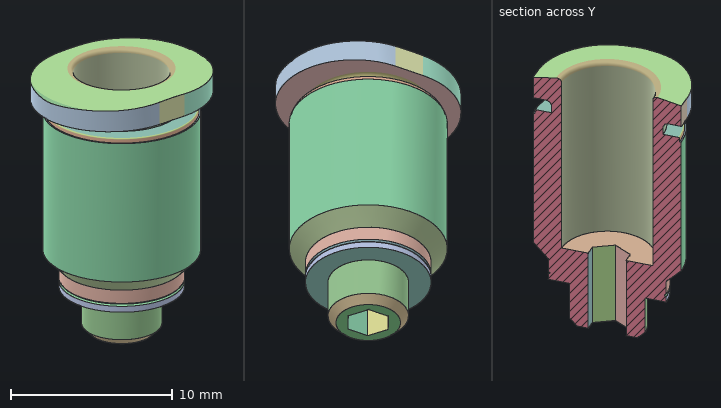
import cadquery as cq
import math

TOTAL_HEIGHT = 17.8
SPIGOT_TOP = 3.0
GROOVE_CENTRE = 3.5
SHOULDER_TOP = 4.5
BODY_BOTTOM = 5.5
BODY_TOP = 14.9
RING_TOP = 15.2
FLANGE_BOTTOM = 16.0

SPIGOT_DIAMETER = 5.0
SHOULDER_DIAMETER = 7.8
BODY_DIAMETER = 9.8
RING_DIAMETER = 9.6
NECK_DIAMETER = 7.4

FLANGE_LENGTH = 11.8
FLANGE_WIDTH = BODY_DIAMETER
FLANGE_TOP_ANGLE = 10.0
FLANGE_EDGE_FILLET = 0.2
RIM_CLEARANCE = 0.002

SPIGOT_CHAMFER = 0.5
GROOVE_DEPTH = 0.1
RING_FILLET = 0.07
NECK_FILLET = 0.35

BORE_DIAMETER = 6.0
BORE_FLOOR = BODY_BOTTOM
BORE_LIP_RADIUS = 0.3
HEX_ACROSS_FLATS = 2.5


def arc_point(centre_x, centre_z, radius, angle_from_vertical):
    """Point on a circle in the turning profile, at an angle measured from +Z toward +X."""
    return (
        centre_x + radius * math.sin(angle_from_vertical),
        centre_z + radius * math.cos(angle_from_vertical),
    )


def make_body():
    """Turned body: spigot, grooved shoulder, cone, barrel, ring and neck, as one revolved profile."""
    spigot = SPIGOT_DIAMETER / 2
    shoulder = SHOULDER_DIAMETER / 2
    barrel = BODY_DIAMETER / 2
    ring = RING_DIAMETER / 2
    neck = NECK_DIAMETER / 2
    profile = (
        cq.Workplane("XZ")
        .lineTo(spigot - SPIGOT_CHAMFER, 0)
        .lineTo(spigot, SPIGOT_CHAMFER)
        .lineTo(spigot, SPIGOT_TOP)
        .lineTo(shoulder, SPIGOT_TOP)
        .lineTo(shoulder, GROOVE_CENTRE - GROOVE_DEPTH)
        .lineTo(shoulder - GROOVE_DEPTH, GROOVE_CENTRE)
        .lineTo(shoulder, GROOVE_CENTRE + GROOVE_DEPTH)
        .lineTo(shoulder, SHOULDER_TOP)
        .lineTo(barrel, BODY_BOTTOM)
        .lineTo(barrel, BODY_TOP)
        .lineTo(ring, BODY_TOP)
        .lineTo(ring, RING_TOP - RING_FILLET)
        .threePointArc(
            arc_point(ring - RING_FILLET, RING_TOP - RING_FILLET, RING_FILLET, math.pi / 4),
            (ring - RING_FILLET, RING_TOP),
        )
        .lineTo(neck, RING_TOP)
        .lineTo(neck, FLANGE_BOTTOM - NECK_FILLET)
        .threePointArc(
            arc_point(neck + NECK_FILLET, FLANGE_BOTTOM - NECK_FILLET, NECK_FILLET, -math.pi / 4),
            (neck + NECK_FILLET, FLANGE_BOTTOM),
        )
        .lineTo(0, FLANGE_BOTTOM)
        .close()
    )
    return profile.revolve(360, (0, 0, 0), (0, 1, 0))


def make_flange():
    """Turned ring with a rounded bore lip, conical top and rounded rim, trimmed to an oval outline."""
    rim = FLANGE_LENGTH / 2 + RIM_CLEARANCE
    slope = math.radians(FLANGE_TOP_ANGLE)

    bore = BORE_DIAMETER / 2
    lip_x = bore + BORE_LIP_RADIUS
    lip_z = TOTAL_HEIGHT - BORE_LIP_RADIUS
    cone_top = lip_z + BORE_LIP_RADIUS / math.cos(slope) + lip_x * math.tan(slope)

    fillet_x = rim - FLANGE_EDGE_FILLET
    slope_z = cone_top - fillet_x * math.tan(slope)
    fillet_z = slope_z - FLANGE_EDGE_FILLET / math.cos(slope)

    ring = (
        cq.Workplane("XZ")
        .moveTo(bore, FLANGE_BOTTOM)
        .lineTo(rim, FLANGE_BOTTOM)
        .lineTo(rim, fillet_z)
        .threePointArc(
            arc_point(fillet_x, fillet_z, FLANGE_EDGE_FILLET, (slope + math.pi / 2) / 2),
            arc_point(fillet_x, fillet_z, FLANGE_EDGE_FILLET, slope),
        )
        .lineTo(*arc_point(lip_x, lip_z, BORE_LIP_RADIUS, slope))
        .threePointArc(
            arc_point(lip_x, lip_z, BORE_LIP_RADIUS, (slope - math.pi / 2) / 2),
            (bore, lip_z),
        )
        .close()
        .revolve(360, (0, 0, 0), (0, 1, 0))
    )
    oval = (
        cq.Workplane("XY")
        .workplane(offset=FLANGE_BOTTOM)
        .slot2D(FLANGE_LENGTH, FLANGE_WIDTH, 90)
        .extrude(TOTAL_HEIGHT - FLANGE_BOTTOM)
    )
    return oval.intersect(ring)


def make_bore():
    """Blind tube bore in the body, continued by the flange ring above."""
    bore = cq.Workplane("XY").workplane(offset=BORE_FLOOR).circle(BORE_DIAMETER / 2)
    return bore.extrude(FLANGE_BOTTOM - BORE_FLOOR)


def make_hex_socket():
    """Through hexagon with two flats facing +X and -X."""
    sides = 6
    half_angle = 180 / sides
    across_corners = HEX_ACROSS_FLATS / math.cos(math.radians(half_angle))
    hexagon = cq.Workplane("XY").polygon(sides, across_corners).extrude(BORE_FLOOR)
    return hexagon.rotate((0, 0, 0), (0, 0, 1), half_angle)


result = make_body().cut(make_bore()).cut(make_hex_socket()).union(make_flange())